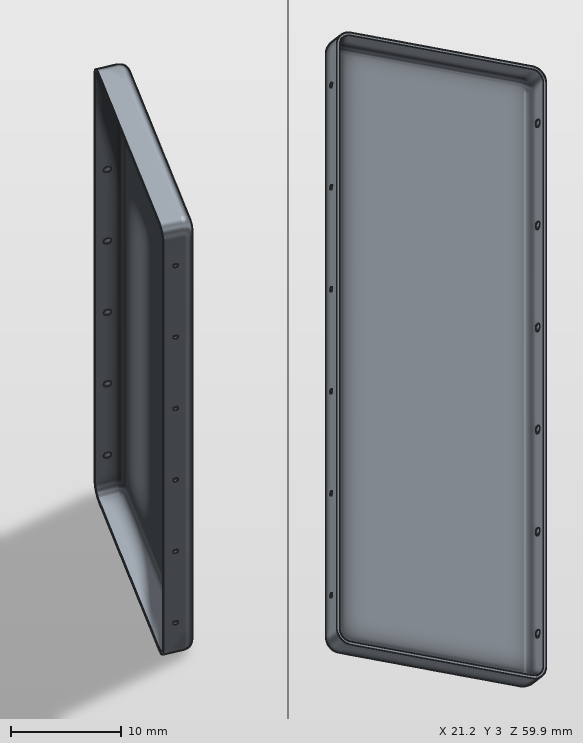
import cadquery as cq

width = 21.2
depth = 3.0
height = 59.9

wall = 0.3
corner_radius = 1.45
back_edge_radius = 0.95

dimple_count = 6
dimple_pitch = height / dimple_count
dimple_radius = 0.25
bump_radius = 0.5
dimple_from_rim = 1.15

rim_y = -depth / 2


def rounded_tray_block(inset):
    """Solid rounded block, inset from the outer sides and back, flush with the rim."""
    block_depth = depth - inset
    return (
        cq.Workplane("XY")
        .box(width - 2 * inset, block_depth, height - 2 * inset)
        .translate((0, rim_y + block_depth / 2, 0))
        .edges("|Y")
        .fillet(corner_radius - inset)
        .faces(">Y")
        .edges()
        .fillet(back_edge_radius - inset)
    )


def dimple_domes(side, radius):
    """Inward half balls on one long side wall (side -1 or +1), evenly spaced along Z."""
    half_ball = (
        cq.Workplane("XY")
        .lineTo(radius, 0)
        .radiusArc((0, radius), -radius)
        .close()
        .revolve(360, (0, 0, 0), (1, 0, 0))
    )
    if side > 0:
        half_ball = half_ball.mirror("YZ")
    first_z = -dimple_pitch * (dimple_count - 1) / 2
    dome_y = rim_y + dimple_from_rim
    return [
        half_ball.translate((side * width / 2, dome_y, first_z + i * dimple_pitch))
        for i in range(dimple_count)
    ]


result = rounded_tray_block(0).cut(rounded_tray_block(wall))
for side in (-1, 1):
    for bump in dimple_domes(side, bump_radius):
        result = result.union(bump)
    for dimple in dimple_domes(side, dimple_radius):
        result = result.cut(dimple)